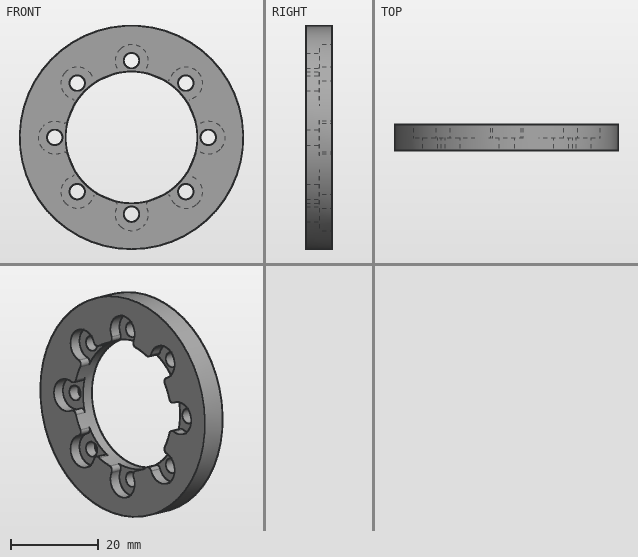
import cadquery as cq
import math

outer_diameter = 51.0
thickness = 6.0
bore_diameter = 30.0

hole_count = 8
hole_circle_radius = 17.5
hole_diameter = 3.45
recess_diameter = 7.5
recess_depth = thickness / 2
corner_radius = 1.0

back_y = thickness / 2
bore_radius = bore_diameter / 2
recess_radius = recess_diameter / 2


def cylinder_from_back(x, z, diameter, depth):
    """Cylinder running from the +Y face toward -Y, centred at (x, z)."""
    return cq.Workplane(cq.Solid.makeCylinder(
        diameter / 2, depth, cq.Vector(x, back_y, z), cq.Vector(0, -1, 0)))


def hole_centers():
    """Centres (x, z) of the equally spaced bolt holes."""
    centers = []
    for index in range(hole_count):
        angle = 2 * math.pi * index / hole_count
        centers.append((hole_circle_radius * math.cos(angle), hole_circle_radius * math.sin(angle)))
    return centers


def make_ring():
    """Plain flat ring."""
    disc = cylinder_from_back(0, 0, outer_diameter, thickness)
    return disc.cut(cylinder_from_back(0, 0, bore_diameter, thickness))


def round_recess_corners(body):
    """Round the edges parallel to Y where the recess walls meet the bore."""
    cosine = (bore_radius**2 + hole_circle_radius**2 - recess_radius**2) / (
        2 * bore_radius * hole_circle_radius)
    crossing_angle = math.acos(cosine)
    corners = []
    for index in range(hole_count):
        for side in (-1, 1):
            angle = 2 * math.pi * index / hole_count + side * crossing_angle
            middle = (bore_radius * math.cos(angle), back_y - recess_depth / 2,
                      bore_radius * math.sin(angle))
            corners.append(body.edges("|Y").edges(cq.NearestToPointSelector(middle)).val())
    return body.newObject(corners).fillet(corner_radius)


body = make_ring()
for x, z in hole_centers():
    body = body.cut(cylinder_from_back(x, z, recess_diameter, recess_depth))
body = round_recess_corners(body)
for x, z in hole_centers():
    body = body.cut(cylinder_from_back(x, z, hole_diameter, thickness))

result = body